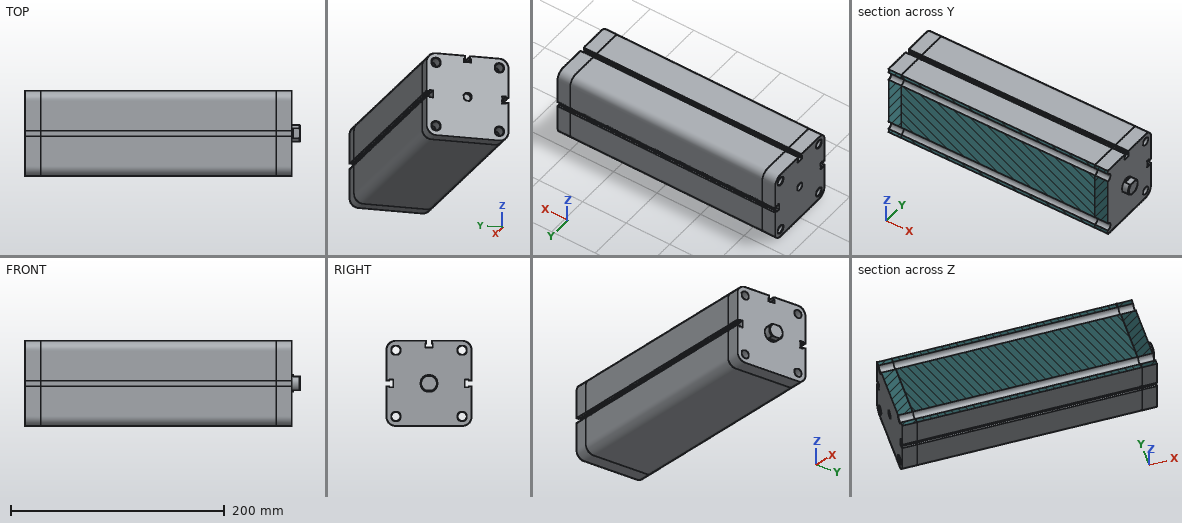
import cadquery as cq

side = 80.0
half_side = side / 2
corner_radius = 9.0

cap_length = 14.75
tube_length = 220.5
front_cap_start = cap_length + tube_length
front_face = front_cap_start + cap_length

screw_spacing = 62.0
screw_hole_diameter = 8.4
screw_hole_chamfer = 0.5

slot_mouth_width = 5.2
slot_groove_width = 7.0
slot_depth = 6.3
slot_mouth_depth = 2.9
slot_angles = [-90, 0, 90]

centre_recess_diameter = 8.0
centre_recess_depth = 4.0

rod_diameter = 16.0
rod_projection = 7.5
rod_chamfer = 0.75
flat_distance = 13.0
flat_length = 6.2
rod_length = cap_length + rod_projection
rod_end = front_face + rod_projection


def slot_cutter(start, length, angle):
    """Undercut slot running along X, turned about X from the top face."""
    groove_floor = half_side - slot_depth
    groove_height = slot_depth - slot_mouth_depth
    mouth = cq.Workplane("XY").box(
        length, slot_mouth_width, slot_depth, centered=(False, True, False)
    )
    groove = cq.Workplane("XY").box(
        length, slot_groove_width, groove_height, centered=(False, True, False)
    )
    cutter = mouth.union(groove).translate((start, 0, groove_floor))
    return cutter.rotate((0, 0, 0), (1, 0, 0), angle)


def profile_section(start, length):
    """Length of the rounded square profile with its screw holes and slots."""
    section = (
        cq.Workplane("YZ", origin=(start, 0, 0))
        .rect(side, side)
        .extrude(length)
        .edges("|X")
        .fillet(corner_radius)
    )
    screw_holes = (
        cq.Workplane("YZ", origin=(start, 0, 0))
        .rect(screw_spacing, screw_spacing, forConstruction=True)
        .vertices()
        .circle(screw_hole_diameter / 2)
        .extrude(length)
    )
    section = section.cut(screw_holes)
    for angle in slot_angles:
        section = section.cut(slot_cutter(start, length, angle))
    return section


def round_bar(start, length, diameter):
    """Cylinder centred on the X axis."""
    return cq.Workplane("YZ", origin=(start, 0, 0)).circle(diameter / 2).extrude(length)


def make_rear_cap():
    """Rear end cap with chamfered screw holes and the blind central recess."""
    cap = profile_section(0, cap_length)
    hole_rims = cap.faces("<X").edges(cq.selectors.RadiusNthSelector(0))
    cap = hole_rims.chamfer(screw_hole_chamfer)
    centre_recess = round_bar(0, centre_recess_depth, centre_recess_diameter)
    return cap.cut(centre_recess)


def make_tube():
    """Cylinder body between the end caps."""
    return profile_section(cap_length, tube_length)


def make_front_cap():
    """Front end cap with the bore that the rod passes through."""
    rod_bore = round_bar(front_cap_start, cap_length, rod_diameter)
    return profile_section(front_cap_start, cap_length).cut(rod_bore)


def make_rod():
    """Piston rod with a chamfered tip and a pair of wrench flats."""
    rod = round_bar(front_cap_start, rod_length, rod_diameter)
    rod = rod.faces(">X").chamfer(rod_chamfer)
    flat_start = rod_end - flat_length
    tip_zone = cq.Workplane("XY").box(
        flat_length, rod_diameter, rod_diameter, centered=(False, True, True)
    )
    between_flats = cq.Workplane("XY").box(
        flat_length, rod_diameter, flat_distance, centered=(False, True, True)
    )
    flat_cutter = tip_zone.cut(between_flats).translate((flat_start, 0, 0))
    return rod.cut(flat_cutter)


rear_cap = make_rear_cap()
tube = make_tube()
front_cap = make_front_cap()
rod = make_rod()

result = cq.Compound.makeCompound(
    [rear_cap.val(), tube.val(), front_cap.val(), rod.val()]
)